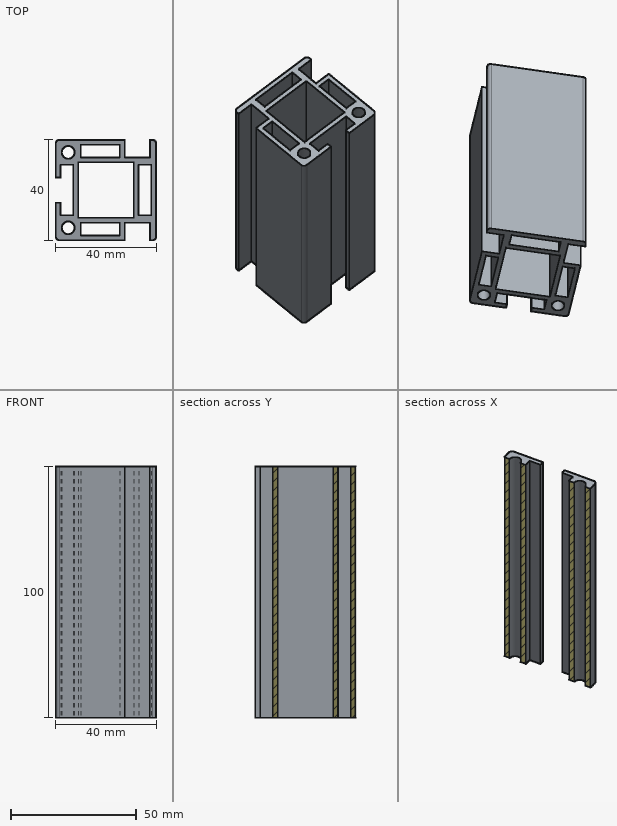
import cadquery as cq

side = 40.0
length = 100.0
half = side / 2
corner_radius = 1.5

wall = 2.0

cavity = 22.0
tube_half = cavity / 2 + wall

channel_width = 20.0
mouth_width = 10.0
channel_outer = half - wall

notch_width = 10.0
flange_thickness = 2.5
notch_end = half - flange_thickness
notch_start = notch_end - notch_width

chamber_start = -10.0
chamber_end = notch_start - wall

hole_diameter = 5.0
hole_inset = 5.0


def passage(x_min, x_max, y_min, y_max):
    """Rectangular prism running the full length of the profile."""
    return (
        cq.Workplane("XY")
        .center((x_min + x_max) / 2, (y_min + y_max) / 2)
        .rect(x_max - x_min, y_max - y_min)
        .extrude(length)
    )


def make_blank():
    """Square bar with rounded long edges."""
    return cq.Workplane("XY").rect(side, side).extrude(length).edges("|Z").fillet(corner_radius)


def cut_tube_and_channels(body):
    """Central square cavity, open -X channel with its mouth, closed +X channel."""
    body = body.cut(passage(-cavity / 2, cavity / 2, -cavity / 2, cavity / 2))
    body = body.cut(passage(-channel_outer, -tube_half, -channel_width / 2, channel_width / 2))
    body = body.cut(passage(-half, -channel_outer, -mouth_width / 2, mouth_width / 2))
    return body.cut(passage(tube_half, channel_outer, -channel_width / 2, channel_width / 2))


def cut_flank_openings(body):
    """Closed chamber and open notch on each of the +Y and -Y flanks."""
    for y_near, y_far, y_face in (
        (tube_half, half - wall, half),
        (-tube_half, wall - half, -half),
    ):
        body = body.cut(passage(chamber_start, chamber_end, min(y_near, y_far), max(y_near, y_far)))
        body = body.cut(passage(notch_start, notch_end, min(y_near, y_face), max(y_near, y_face)))
    return body


def cut_screw_holes(body):
    """Round holes through both -X corners."""
    hole_offset = half - hole_inset
    holes = (
        cq.Workplane("XY")
        .pushPoints([(-hole_offset, hole_offset), (-hole_offset, -hole_offset)])
        .circle(hole_diameter / 2)
        .extrude(length)
    )
    return body.cut(holes)


result = cut_screw_holes(cut_flank_openings(cut_tube_and_channels(make_blank())))